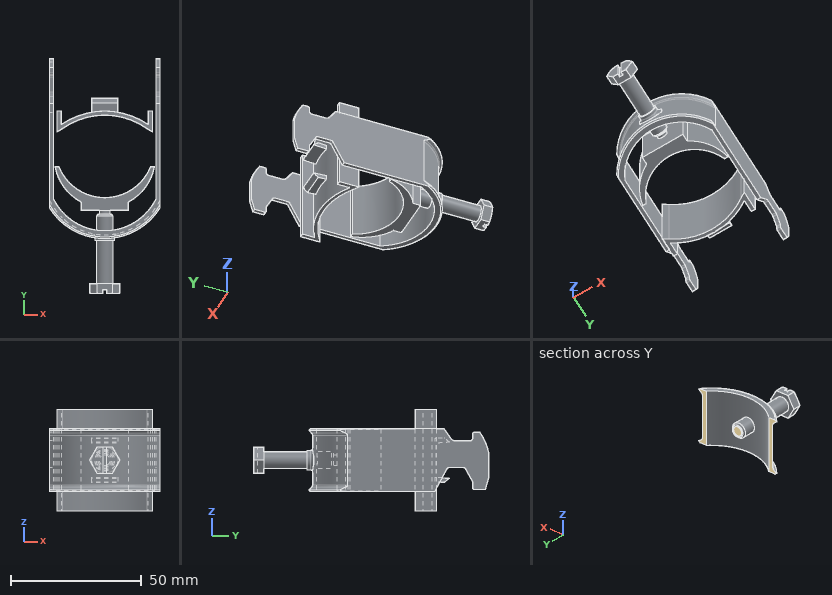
import cadquery as cq
import math

TOTAL_LENGTH = 90.0

STRAP_WIDTH = 42.5
STRAP_HEIGHT = 24.1
ARM_THICKNESS = 1.7
BEND_CENTRE_Y = 46.0
BEND_OUTER_RADIUS = 23.5
BEND_INNER_RADIUS = 21.9
half_width = STRAP_WIDTH / 2
half_height = STRAP_HEIGHT / 2

UPPER_SHOULDER_Y = 72.9
LOWER_SHOULDER_Y = 69.3
UPPER_NECK_Z = 7.5
LOWER_NECK_Z = -2.9
UPPER_NECK_START_Y = 76.1
LOWER_NECK_START_Y = 74.25
LOWER_NECK_END_Y = 80.8
HOOK_BACK_Y = 83.8
HOOK_UPPER_Z = 10.7
HOOK_UPPER_TIP_Y = 86.6
HOOK_LOWER_Z = -11.25
HOOK_LOWER_TIP_Y = 88.7
LOWER_BARB_Z = -8.3
END_FACE_UPPER_Z = 3.0
END_FACE_LOWER_Z = -6.75
HOOK_ARC_MIDDLE = (88.65, 7.1)
TIP_FILLET = 0.7
BARB_FILLET = 0.9
UPPER_NECK_FILLET = 2.0
LOWER_NECK_FILLET = 0.9

RIM_RADIUS = 24.9
RIM_FLARE_ANGLE = 45
RIM_EDGE_CHAMFER = 0.6
RIM_ROOT_FILLET = 1.2

COLLAR_RADIUS = 3.8
COLLAR_END_Y = 20.3
COLLAR_FLARE_Y = 21.7
COLLAR_FLARE_RADIUS = 1.3
SHANK_RADIUS = 3.2
PILOT_RADIUS = 2.1
SHANK_TIP_RADIUS = 2.6
SHANK_CHAMFER_LENGTH = 0.8
SHANK_END_Y = 30.5
HEAD_LENGTH = 3.9
HEAD_SIDES = 6
HEAD_ACROSS_FLATS = 10.1
HEAD_CHAMFER_ANGLE = 15
SLOT_WIDTH = 1.4
SLOT_DEPTH = 1.4

SADDLE_BLOCK_WIDTH = 18.2
SADDLE_BLOCK_Y = 31.9
SADDLE_BLOCK_TOP_Y = 35.1
SADDLE_TIP_Y = 48.7
SADDLE_OUTER_HALF_WIDTH = 19.1
SADDLE_INNER_HALF_WIDTH = 17.55
SADDLE_OUTER_RADIUS = 19.4
SADDLE_SEAT_Y = 36.8
SADDLE_HEIGHT = 23.7

SHELL_HEIGHT = 39.0
SHELL_WIDTH = 36.7
SHELL_LEG_THICKNESS = 1.8
SHELL_LEG_END_Y = 70.0
SHELL_CORNER_Y = 61.8
SHELL_OUTER_RADIUS = 29.7
SHELL_THICKNESS = 1.6
SHELL_APEX_Y = 69.9
SHELL_INNER_HALF_WIDTH = 16.1

PRONG_WIDTH = 10.1
PRONG_TIP_Y = 74.9
PRONG_TIP_Z = 6.9
PRONG_BEVEL_Y = 73.0
PRONG_BEVEL_Z = 8.55
PRONG_ROOT_Y = 69.3
PRONG_TILT = 4


def circle_y(centre_y, radius, x, side):
    """Y of a circle centred on X = 0, on its +Y (side = 1) or -Y (side = -1) half."""
    return centre_y + side * math.sqrt(radius**2 - x**2)


def revolve_about_y(points):
    """Solid of revolution about the Y axis from (radius, Y) points."""
    return cq.Workplane("XY").polyline(points).close().revolve(360, (0, 0, 0), (0, 1, 0))


def make_u_band():
    """U-shaped band of full strap height."""
    inner = half_width - ARM_THICKNESS
    outer_y = circle_y(BEND_CENTRE_Y, BEND_OUTER_RADIUS, half_width, -1)
    inner_y = circle_y(BEND_CENTRE_Y, BEND_INNER_RADIUS, inner, -1)
    return (
        cq.Workplane("XY", origin=(0, 0, -half_height))
        .moveTo(-half_width, TOTAL_LENGTH)
        .lineTo(-half_width, outer_y)
        .threePointArc((0, BEND_CENTRE_Y - BEND_OUTER_RADIUS), (half_width, outer_y))
        .lineTo(half_width, TOTAL_LENGTH)
        .lineTo(inner, TOTAL_LENGTH)
        .lineTo(inner, inner_y)
        .threePointArc((0, BEND_CENTRE_Y - BEND_INNER_RADIUS), (-inner, inner_y))
        .lineTo(-inner, TOTAL_LENGTH)
        .close()
        .extrude(STRAP_HEIGHT)
    )


def make_arm_profile():
    """Side outline of the arms with their hooks, as a block across the whole width."""
    corner_fillets = (
        (UPPER_NECK_START_Y, UPPER_NECK_Z, UPPER_NECK_FILLET),
        (LOWER_NECK_START_Y, LOWER_NECK_Z, LOWER_NECK_FILLET),
        (LOWER_NECK_END_Y, LOWER_NECK_Z, LOWER_NECK_FILLET),
        (HOOK_BACK_Y, UPPER_NECK_Z, BARB_FILLET),
        (HOOK_BACK_Y, LOWER_BARB_Z, BARB_FILLET),
        (HOOK_BACK_Y, HOOK_UPPER_Z, TIP_FILLET),
        (HOOK_BACK_Y, HOOK_LOWER_Z, TIP_FILLET),
    )
    block = (
        cq.Workplane("YZ", origin=(-half_width, 0, 0))
        .moveTo(0, half_height)
        .lineTo(UPPER_SHOULDER_Y, half_height)
        .lineTo(UPPER_NECK_START_Y, UPPER_NECK_Z)
        .lineTo(HOOK_BACK_Y, UPPER_NECK_Z)
        .lineTo(HOOK_BACK_Y, HOOK_UPPER_Z)
        .lineTo(HOOK_UPPER_TIP_Y, HOOK_UPPER_Z)
        .threePointArc(HOOK_ARC_MIDDLE, (TOTAL_LENGTH, END_FACE_UPPER_Z))
        .lineTo(TOTAL_LENGTH, END_FACE_LOWER_Z)
        .lineTo(HOOK_LOWER_TIP_Y, HOOK_LOWER_Z)
        .lineTo(HOOK_BACK_Y, HOOK_LOWER_Z)
        .lineTo(HOOK_BACK_Y, LOWER_BARB_Z)
        .lineTo(LOWER_NECK_END_Y, LOWER_NECK_Z)
        .lineTo(LOWER_NECK_START_Y, LOWER_NECK_Z)
        .lineTo(LOWER_SHOULDER_Y, -half_height)
        .lineTo(0, -half_height)
        .close()
        .extrude(STRAP_WIDTH)
    )
    for y, z, radius in corner_fillets:
        edge = cq.selectors.NearestToPointSelector((0, y, z))
        block = block.edges("|X").edges(edge).fillet(radius)
    return block


def make_rim():
    """Flared rim along the top edge of the bend, trimmed to the strap width."""
    flare = math.radians(RIM_FLARE_ANGLE)
    embedded_radius = (BEND_INNER_RADIUS + BEND_OUTER_RADIUS) / 2
    lip_z = half_height - RIM_EDGE_CHAMFER
    fillet_end_radius = BEND_OUTER_RADIUS + RIM_ROOT_FILLET * (1 - math.cos(flare))
    fillet_end_z = lip_z - (RIM_RADIUS - fillet_end_radius) / math.tan(flare)
    fillet_start_z = fillet_end_z - RIM_ROOT_FILLET * math.sin(flare)
    fillet_middle = (
        BEND_OUTER_RADIUS + RIM_ROOT_FILLET * (1 - math.cos(flare / 2)),
        fillet_start_z + RIM_ROOT_FILLET * math.sin(flare / 2),
    )
    ring = (
        cq.Workplane("XZ", origin=(0, BEND_CENTRE_Y, 0))
        .moveTo(embedded_radius, fillet_start_z)
        .lineTo(BEND_OUTER_RADIUS, fillet_start_z)
        .threePointArc(fillet_middle, (fillet_end_radius, fillet_end_z))
        .lineTo(RIM_RADIUS, lip_z)
        .lineTo(RIM_RADIUS - RIM_EDGE_CHAMFER, half_height)
        .lineTo(embedded_radius, half_height)
        .close()
        .revolve(360, (0, 0, 0), (0, 1, 0))
    )
    front_half = cq.Workplane("XY", origin=(0, BEND_CENTRE_Y / 2, 0)).box(
        STRAP_WIDTH, BEND_CENTRE_Y, STRAP_HEIGHT
    )
    return ring.intersect(front_half)


def make_collar():
    """Round collar that flares out into the bend along a quarter-circle arc."""
    bend_middle_y = BEND_CENTRE_Y - (BEND_INNER_RADIUS + BEND_OUTER_RADIUS) / 2
    base_radius = COLLAR_RADIUS + COLLAR_FLARE_RADIUS
    base_y = COLLAR_FLARE_Y + COLLAR_FLARE_RADIUS
    flare_middle = (
        base_radius - COLLAR_FLARE_RADIUS * math.cos(math.pi / 4),
        COLLAR_FLARE_Y + COLLAR_FLARE_RADIUS * math.sin(math.pi / 4),
    )
    return (
        cq.Workplane("XY")
        .moveTo(0, COLLAR_END_Y)
        .lineTo(COLLAR_RADIUS, COLLAR_END_Y)
        .lineTo(COLLAR_RADIUS, COLLAR_FLARE_Y)
        .threePointArc(flare_middle, (base_radius, base_y))
        .lineTo(base_radius, bend_middle_y)
        .lineTo(0, bend_middle_y)
        .close()
        .revolve(360, (0, 0, 0), (0, 1, 0))
    )


def make_strap():
    """Strap with hooks, flared rims and the screw collar."""
    strap = make_u_band().intersect(make_arm_profile())
    upper_rim = make_rim()
    return strap.union(make_collar()).union(upper_rim).union(upper_rim.mirror("XY"))


def make_screw():
    """Hexagon-head slotted screw reaching the saddle."""
    shank = revolve_about_y(
        [
            (0, HEAD_LENGTH),
            (SHANK_RADIUS, HEAD_LENGTH),
            (SHANK_RADIUS, SHANK_END_Y - SHANK_CHAMFER_LENGTH),
            (SHANK_TIP_RADIUS, SHANK_END_Y),
            (PILOT_RADIUS, SHANK_END_Y),
            (PILOT_RADIUS, SADDLE_BLOCK_Y),
            (0, SADDLE_BLOCK_Y),
        ]
    )
    across_corners = HEAD_ACROSS_FLATS / math.cos(math.pi / HEAD_SIDES)
    corner_drop = (across_corners - HEAD_ACROSS_FLATS) / 2 * math.tan(math.radians(HEAD_CHAMFER_ANGLE))
    head = cq.Workplane("XZ").polygon(HEAD_SIDES, across_corners).extrude(-HEAD_LENGTH)
    chamfer_envelope = revolve_about_y(
        [
            (0, 0),
            (HEAD_ACROSS_FLATS / 2, 0),
            (across_corners / 2, corner_drop),
            (across_corners / 2, HEAD_LENGTH),
            (0, HEAD_LENGTH),
        ]
    )
    slot = cq.Workplane("XY").box(SLOT_WIDTH, 2 * SLOT_DEPTH, across_corners)
    return head.intersect(chamfer_envelope).cut(slot).union(shank)


def make_saddle():
    """Crescent-shaped saddle with a flat block where the screw joins it."""
    half_block = SADDLE_BLOCK_WIDTH / 2
    chord = math.hypot(SADDLE_OUTER_HALF_WIDTH - half_block, SADDLE_TIP_Y - SADDLE_BLOCK_TOP_Y)
    bulge = SADDLE_OUTER_RADIUS - math.sqrt(SADDLE_OUTER_RADIUS**2 - (chord / 2) ** 2)
    return (
        cq.Workplane("XY", origin=(0, 0, -SADDLE_HEIGHT / 2))
        .moveTo(-half_block, SADDLE_BLOCK_Y)
        .lineTo(half_block, SADDLE_BLOCK_Y)
        .lineTo(half_block, SADDLE_BLOCK_TOP_Y)
        .sagittaArc((SADDLE_OUTER_HALF_WIDTH, SADDLE_TIP_Y), -bulge)
        .lineTo(SADDLE_INNER_HALF_WIDTH, SADDLE_TIP_Y)
        .threePointArc((0, SADDLE_SEAT_Y), (-SADDLE_INNER_HALF_WIDTH, SADDLE_TIP_Y))
        .lineTo(-SADDLE_OUTER_HALF_WIDTH, SADDLE_TIP_Y)
        .sagittaArc((-half_block, SADDLE_BLOCK_TOP_Y), -bulge)
        .close()
        .extrude(SADDLE_HEIGHT)
    )


def make_prong():
    """Upper snap prong: slightly splayed, with a bevelled tip."""
    tilt = math.tan(math.radians(PRONG_TILT))
    inner_root_z = PRONG_TIP_Z - (PRONG_TIP_Y - PRONG_ROOT_Y) * tilt
    outer_root_z = PRONG_BEVEL_Z - (PRONG_BEVEL_Y - PRONG_ROOT_Y) * tilt
    return (
        cq.Workplane("YZ", origin=(-PRONG_WIDTH / 2, 0, 0))
        .moveTo(PRONG_ROOT_Y, inner_root_z)
        .lineTo(PRONG_TIP_Y, PRONG_TIP_Z)
        .lineTo(PRONG_BEVEL_Y, PRONG_BEVEL_Z)
        .lineTo(PRONG_ROOT_Y, outer_root_z)
        .close()
        .extrude(PRONG_WIDTH)
    )


def make_back_shell():
    """Curved back shell with two side legs and a mirrored pair of snap prongs."""
    half_shell = SHELL_WIDTH / 2
    leg_inner = half_shell - SHELL_LEG_THICKNESS
    centre_y = SHELL_APEX_Y - SHELL_OUTER_RADIUS
    inner_radius = SHELL_OUTER_RADIUS - SHELL_THICKNESS
    outer_end_y = circle_y(centre_y, SHELL_OUTER_RADIUS, leg_inner, 1)
    inner_end_y = circle_y(centre_y, inner_radius, SHELL_INNER_HALF_WIDTH, 1)
    shell = (
        cq.Workplane("XY", origin=(0, 0, -SHELL_HEIGHT / 2))
        .moveTo(-half_shell, SHELL_LEG_END_Y)
        .lineTo(-half_shell, SHELL_CORNER_Y)
        .lineTo(-SHELL_INNER_HALF_WIDTH, inner_end_y)
        .threePointArc((0, SHELL_APEX_Y - SHELL_THICKNESS), (SHELL_INNER_HALF_WIDTH, inner_end_y))
        .lineTo(half_shell, SHELL_CORNER_Y)
        .lineTo(half_shell, SHELL_LEG_END_Y)
        .lineTo(leg_inner, SHELL_LEG_END_Y)
        .lineTo(leg_inner, outer_end_y)
        .threePointArc((0, SHELL_APEX_Y), (-leg_inner, outer_end_y))
        .lineTo(-leg_inner, SHELL_LEG_END_Y)
        .close()
        .extrude(SHELL_HEIGHT)
    )
    prong = make_prong()
    return shell.union(prong).union(prong.mirror("XY"))


clamp = make_strap().union(make_screw()).union(make_saddle())
back_shell = make_back_shell()

result = cq.Compound.makeCompound([clamp.val(), back_shell.val()])